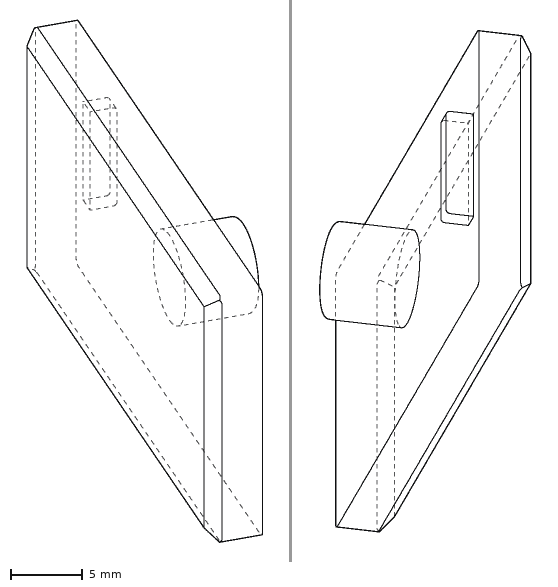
import cadquery as cq

plate_width = 40.0
plate_height = 20.0
plate_thickness = 4.0
plate_bevel = 1.0
plate_corner_radius = 0.5

stud_diameter = 6.9
stud_length = 5.5
stud_rim_radius = 0.3

tab_width = 1.5
tab_height = 8.0
tab_length = 2.0
tab_end_gap = 1.5
tab_edge_radius = 0.3


def make_plate():
    """Block with a mitred bevel around its front face and rounded corners."""
    size = (plate_width, plate_thickness, plate_height)
    centered = (True, False, True)
    origin = (0, -plate_thickness, 0)
    beveled = cq.Workplane("XY", origin=origin).box(*size, centered=centered)
    beveled = beveled.faces("<Y").chamfer(plate_bevel)
    rounded = cq.Workplane("XY", origin=origin).box(*size, centered=centered)
    rounded = rounded.edges("|Y").fillet(plate_corner_radius)
    return beveled.intersect(rounded)


def make_stud():
    """Cylinder standing on the back face, rounded at its free end."""
    stud = cq.Workplane("XZ").circle(stud_diameter / 2).extrude(-stud_length)
    return stud.faces(">Y").edges().fillet(stud_rim_radius)


def make_tab():
    """Flat tab whose top and bottom edges are rounded at the free end."""
    center_x = -plate_width / 2 + tab_end_gap + tab_width / 2
    tab = cq.Workplane("XZ").center(center_x, 0).rect(tab_width, tab_height).extrude(-tab_length)
    return tab.faces(">Y").edges("|X").fillet(tab_edge_radius)


result = make_plate().union(make_stud()).union(make_tab())